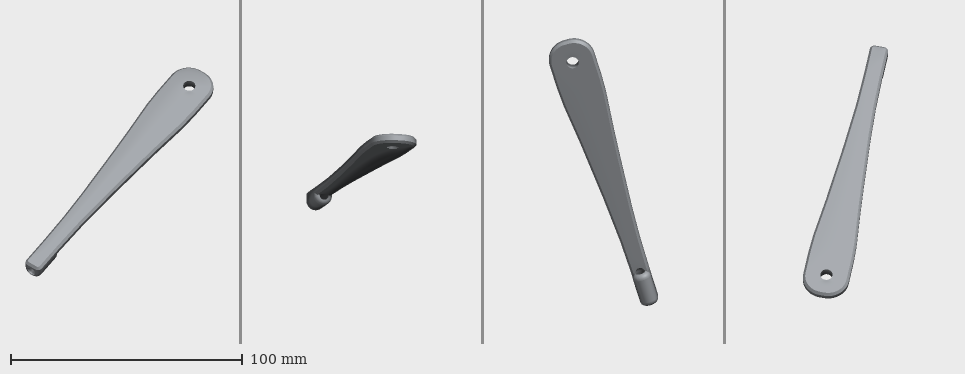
import cadquery as cq

length = 127.5
head_width = 20.0
socket_width = 8.0
thickness = socket_width / 2
socket_length = 15.0

head_corner_radius = 9.0
head_straight_end = 20.0
taper_mid_distance = 66.3
taper_mid_half_width = 6.2
shoulder_distance = 38.2
shoulder_half_width = 8.7
edge_chamfer = 1.0

hang_hole_diameter = 5.2
hang_hole_distance = head_width / 2
bore_diameter = 4.1

tip_round = 2.0
back_round = 2.3

half_head = head_width / 2
socket_radius = socket_width / 2

taper_start = length - head_straight_end
taper_mid = length - taper_mid_distance
shoulder = length - shoulder_distance


def make_plate():
    """Flat handle that tapers along smooth curves from the head to the tip."""
    right_taper = [
        (socket_radius, socket_length),
        (taper_mid_half_width, taper_mid),
        (shoulder_half_width, shoulder),
        (half_head, taper_start),
    ]
    left_taper = [(-x, y) for x, y in reversed(right_taper)]
    outline = (
        cq.Workplane("XY")
        .moveTo(-socket_radius, 0)
        .lineTo(socket_radius, 0)
        .lineTo(*right_taper[0])
        .spline(right_taper[1:], tangents=[(0, 1), (0, 1)], includeCurrent=True)
        .lineTo(half_head, length)
        .lineTo(-half_head, length)
        .lineTo(*left_taper[0])
        .spline(left_taper[1:], tangents=[(0, -1), (0, -1)], includeCurrent=True)
        .close()
    )
    plate = outline.extrude(thickness)
    plate = plate.edges("|Z and >Y").fillet(head_corner_radius)
    plate = plate.edges("|Z and <Y").fillet(tip_round)
    return plate.faces("<Z or >Z").chamfer(edge_chamfer)


def make_socket():
    """U-shaped block under the tip, rounded at both ends and chamfered along the top."""
    block = (
        cq.Workplane("XZ")
        .moveTo(-socket_radius, thickness)
        .lineTo(-socket_radius, 0)
        .threePointArc((0, -socket_radius), (socket_radius, 0))
        .lineTo(socket_radius, thickness)
        .close()
        .extrude(-socket_length)
    )
    block = block.faces("<Y").edges("not >Z").fillet(tip_round)
    block = block.faces(">Y").edges("not >Z").fillet(back_round)
    return block.faces(">Z").chamfer(edge_chamfer)


def make_bore():
    """Axial bore through the socket, ending in a dome that dents the plate's underside."""
    bore = cq.Workplane("XZ").circle(bore_diameter / 2).extrude(-socket_length)
    dome = cq.Workplane("XY").sphere(bore_diameter / 2).translate((0, socket_length, 0))
    return bore.union(dome)


hang_hole = (
    cq.Workplane("XY")
    .center(0, length - hang_hole_distance)
    .circle(hang_hole_diameter / 2)
    .extrude(thickness)
)

result = make_plate().union(make_socket()).cut(hang_hole).cut(make_bore())